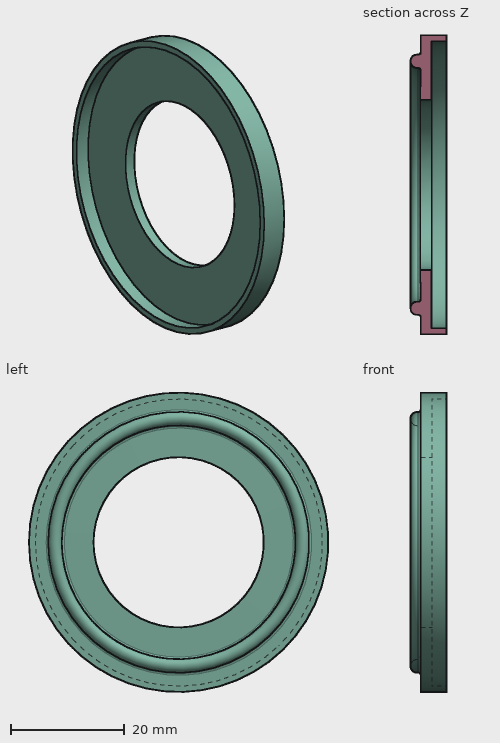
import cadquery as cq

outer_diameter = 52.7
bore_diameter = 29.9
overall_width = 6.4
rim_width = 4.6
recess_diameter = 50.5
web_thickness = 1.95

bore_edge_rise = 0.09

bead_outer_diameter = 45.9
bead_inner_diameter = 41.1
bead_root_fillet = 0.4

rim_x = overall_width / 2
face_x = rim_x - rim_width
recess_floor_x = face_x + web_thickness
bore_edge_x = face_x - bore_edge_rise
crest_x = -overall_width / 2

outer_radius = outer_diameter / 2
bore_radius = bore_diameter / 2
recess_radius = recess_diameter / 2
bead_outer_radius = bead_outer_diameter / 2
bead_inner_radius = bead_inner_diameter / 2
bead_mid_radius = (bead_outer_radius + bead_inner_radius) / 2
crest_radius = (bead_outer_radius - bead_inner_radius) / 2
crest_start_x = crest_x + crest_radius


def sharp_ring():
    """Half section (X along the axis, Y as radius) turned into a ring with sharp bead roots."""
    return (
        cq.Workplane("XY")
        .moveTo(recess_floor_x, bore_radius)
        .lineTo(recess_floor_x, recess_radius)
        .lineTo(rim_x, recess_radius)
        .lineTo(rim_x, outer_radius)
        .lineTo(face_x, outer_radius)
        .lineTo(face_x, bead_outer_radius)
        .lineTo(crest_start_x, bead_outer_radius)
        .threePointArc((crest_x, bead_mid_radius), (crest_start_x, bead_inner_radius))
        .lineTo(face_x, bead_inner_radius)
        .lineTo(bore_edge_x, bore_radius)
        .close()
        .revolve(360, (0, 0, 0), (1, 0, 0))
    )


def fillet_bead_roots(ring):
    """Blend both walls of the bead into the web face."""
    tolerance = 1e-3

    def is_bead_root(edge):
        if edge.geomType() != "CIRCLE":
            return False
        in_face_plane = abs(edge.Center().x - face_x) < tolerance
        return in_face_plane and edge.radius() < outer_radius - tolerance

    return ring.edges().filter(is_bead_root).fillet(bead_root_fillet)


result = fillet_bead_roots(sharp_ring())